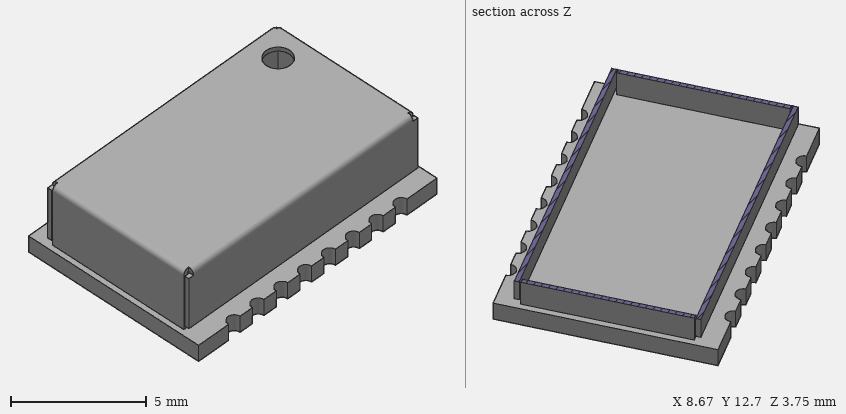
import cadquery as cq

board_width = 8.67
board_length = 12.7
board_thickness = 0.8
notch_radius = 0.3
notch_pitch = 1.27
notches_per_side = 8

total_height = 3.75
shield_width = 7.2
shield_length = 12.2
sheet_thickness = 0.2
bend_radius = 0.25
side_wall_clearance = 0.2
hole_diameter = 1.2
hole_x = -2.2
hole_y = 4.71

inner_bend_radius = bend_radius - sheet_thickness
plate_width = shield_width - 2 * bend_radius
plate_length = shield_length - 2 * bend_radius
bend_height = total_height - bend_radius


def make_board():
    """Flat board with a row of half-round notches on each long edge."""
    board = cq.Workplane("XY").box(
        board_width, board_length, board_thickness, centered=(True, True, False)
    )
    notches = (
        cq.Workplane("XY")
        .rarray(board_width, notch_pitch, 2, notches_per_side)
        .circle(notch_radius)
        .extrude(board_thickness)
    )
    return board.cut(notches)


def rounded_block(plane, bottom, span, top, depth, radius):
    """Block extruded equally to both sides of the plane, its two top long edges rounded."""
    height = top - bottom
    top_corners = "|Y and >Z" if plane == "XZ" else "|X and >Z"
    return (
        cq.Workplane(plane)
        .center(0, bottom + height / 2)
        .rect(span, height)
        .extrude(depth / 2, both=True)
        .edges(top_corners)
        .fillet(radius)
    )


def folded_channel(plane, span, depth, bottom):
    """Top sheet with a wall bent down along each of two opposite edges."""
    outer = rounded_block(plane, bottom, span, total_height, depth, bend_radius)
    inner_span = span - 2 * sheet_thickness
    inner_top = total_height - sheet_thickness
    inner = rounded_block(plane, bottom, inner_span, inner_top, depth, inner_bend_radius)
    return outer.cut(inner)


def side_walls():
    """Straight side walls running the full shield length, clear of the board."""
    bottom = board_thickness + side_wall_clearance
    wall_offset = (shield_width - sheet_thickness) / 2
    return (
        cq.Workplane("XY", origin=(0, 0, bottom))
        .pushPoints([(-wall_offset, 0), (wall_offset, 0)])
        .rect(sheet_thickness, shield_length)
        .extrude(bend_height - bottom)
    )


def make_shield():
    """Cover with open corners: end walls reach the board and side walls stop above it."""
    side_fold = folded_channel(
        "XZ", shield_width, plate_length, board_thickness + side_wall_clearance
    )
    end_fold = folded_channel("YZ", shield_length, plate_width, board_thickness)
    shield = side_fold.union(end_fold).union(side_walls())
    hole = (
        cq.Workplane("XY", origin=(hole_x, hole_y, total_height - sheet_thickness))
        .circle(hole_diameter / 2)
        .extrude(sheet_thickness)
    )
    return shield.cut(hole)


result = make_board().union(make_shield())